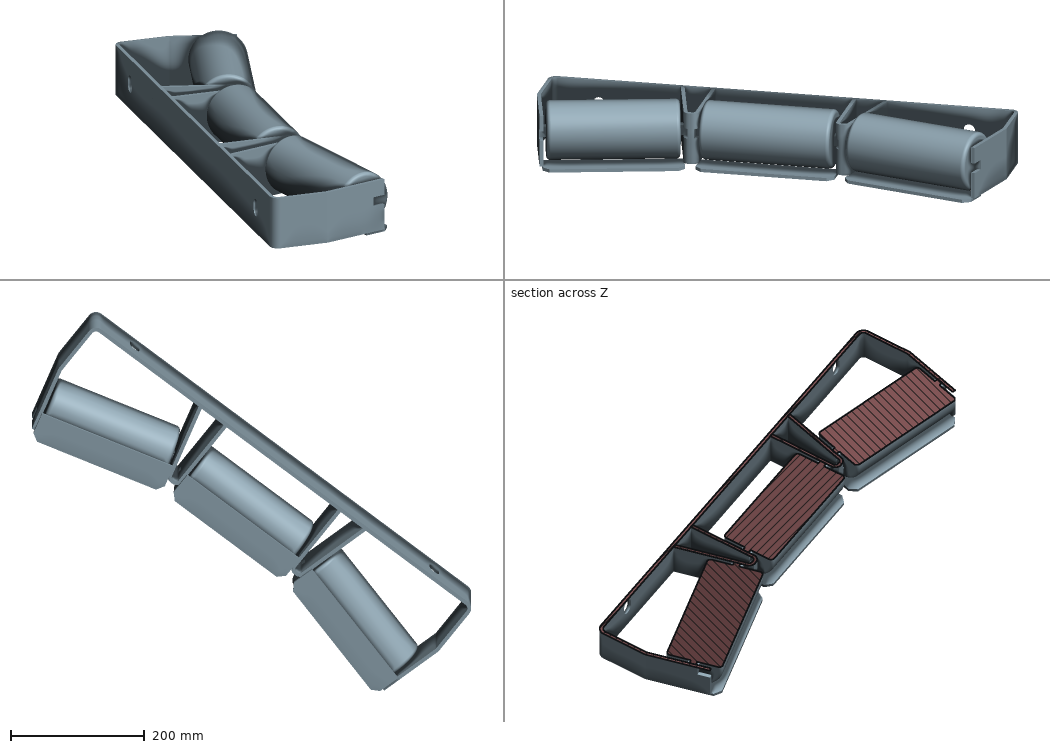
import cadquery as cq
import math

FRAME_LENGTH = 720.0
FRAME_HEIGHT = 80.0
SHEET = 6.0
CORNER_RADIUS = 13.0
BEND_RADIUS = 10.0
TILT = 15.0
BEND_Y = 88.0
ARM_END_Y = 186.5

MOUNT_SPACING = 567.0
MOUNT_WIDTH = 18.0
MOUNT_HEIGHT = 27.0

CENTRE_GAP = 210.0
BRACKET_TOP_Y = 125.0

ROLLER_RADIUS = 45.0
ROLLER_LENGTH = 200.0
ROLLER_EDGE = 6.0
ROLLER_Z = 47.5
CENTRE_ROLLER_Y = 100.0
OUTER_ROLLER_Y = 129.5
SHAFT_WIDTH = 19.0
TONGUE_ROUNDING = 3.0
SHAFT_HEIGHT = 15.0

PLATE_LENGTH = 213.0
PLATE_WIDTH = 43.0
PLATE_THICKNESS = 5.0
PLATE_CHAMFER = 10.0
PLATE_REAR = 43.0

LEAN = math.tan(math.radians(TILT))
SIN_TILT = math.sin(math.radians(TILT))
COS_TILT = math.cos(math.radians(TILT))
SHAFT_LENGTH = CENTRE_GAP + 2 * SHEET
OUTER_ROLLER_X = FRAME_LENGTH / 2 - (OUTER_ROLLER_Y - BEND_Y) * LEAN - SHAFT_LENGTH / 2 / COS_TILT
BRACKET_FOOT_X = OUTER_ROLLER_X + (OUTER_ROLLER_Y - SHEET) * LEAN - CENTRE_GAP / 2 / COS_TILT
SLOT_REACH = 86.5

STATIONS = [
    (-OUTER_ROLLER_X, OUTER_ROLLER_Y, -TILT),
    (0, CENTRE_ROLLER_Y, 0),
    (OUTER_ROLLER_X, OUTER_ROLLER_Y, TILT),
]


def at_station(shape, station):
    """Move a shape built around the origin, axis along X, to a roller station."""
    x, y, turn = station
    return shape.rotate((0, 0, 0), (0, 0, 1), turn).translate((x, y, 0))


def make_shaft_slots():
    """Two slots for the shaft ends, open towards the rear."""
    slot_length = SHAFT_WIDTH / 2 + SLOT_REACH
    slot_x = (CENTRE_GAP + SHEET) / 2
    slot_y = (SLOT_REACH - SHAFT_WIDTH / 2) / 2
    return (
        cq.Workplane("XY")
        .pushPoints([(-slot_x, slot_y), (slot_x, slot_y)])
        .box(SHEET, slot_length, SHAFT_HEIGHT)
        .edges("|X and <Y").fillet(TONGUE_ROUNDING)
        .translate((0, 0, ROLLER_Z))
    )


def cut_shaft_slots(body):
    for station in STATIONS:
        body = body.cut(at_station(make_shaft_slots(), station))
    return body


def round_bend(sheet, outside, inside, outside_radius):
    """Round a sheet bend given the (x, y) of its outside and inside upright edges."""
    for (x, y), radius in ((outside, outside_radius), (inside, outside_radius - SHEET)):
        sheet = sheet.edges(cq.NearestToPointSelector((x, y, FRAME_HEIGHT / 2))).fillet(radius)
    return sheet


def make_frame():
    half = FRAME_LENGTH / 2
    tip_x = half - (ARM_END_Y - BEND_Y) * LEAN
    inner_half = half - SHEET
    inner_bend_y = BEND_Y - SHEET * math.tan(math.radians(TILT / 2))
    tip_inner_x = tip_x - SHEET * COS_TILT
    tip_inner_y = ARM_END_Y - SHEET * SIN_TILT
    right = [
        (half, 0), (half, BEND_Y), (tip_x, ARM_END_Y),
        (tip_inner_x, tip_inner_y), (inner_half, inner_bend_y), (inner_half, SHEET),
    ]
    left = [(-x, y) for x, y in reversed(right)]
    frame = cq.Workplane("XY").polyline(right + left).close().extrude(FRAME_HEIGHT)
    for side in (-1, 1):
        frame = round_bend(frame, (side * half, 0), (side * inner_half, SHEET), CORNER_RADIUS)
        frame = round_bend(frame, (side * half, BEND_Y), (side * inner_half, inner_bend_y), BEND_RADIUS)
    mounts = (
        cq.Workplane("XZ")
        .pushPoints([(side * MOUNT_SPACING / 2, FRAME_HEIGHT / 2) for side in (-1, 1)])
        .slot2D(MOUNT_HEIGHT, MOUNT_WIDTH, 90)
        .extrude(-SHEET)
    )
    return cut_shaft_slots(frame.cut(mounts))


def make_bracket(side):
    inner = CENTRE_GAP / 2
    slant = SHEET / COS_TILT
    top = BRACKET_TOP_Y
    under = top - SHEET

    def leg_x(y):
        return BRACKET_FOOT_X - (y - SHEET) * LEAN

    outline = [
        (inner, SHEET), (inner, top), (leg_x(top), top), (leg_x(SHEET), SHEET),
        (leg_x(SHEET) - slant, SHEET), (leg_x(under) - slant, under),
        (inner + SHEET, under), (inner + SHEET, SHEET),
    ]
    bracket = cq.Workplane("XY").polyline([(side * x, y) for x, y in outline]).close().extrude(FRAME_HEIGHT)
    bracket = round_bend(bracket, (side * inner, top), (side * (inner + SHEET), under), BEND_RADIUS)
    bracket = round_bend(bracket, (side * leg_x(top), top), (side * (leg_x(under) - slant), under), BEND_RADIUS)
    return cut_shaft_slots(bracket)


def make_roller(station):
    drum = cq.Workplane("YZ").workplane(offset=-ROLLER_LENGTH / 2).circle(ROLLER_RADIUS).extrude(ROLLER_LENGTH)
    drum = drum.edges("%CIRCLE").fillet(ROLLER_EDGE)
    shaft = cq.Workplane("YZ").workplane(offset=-CENTRE_GAP / 2).circle(SHAFT_WIDTH / 2).extrude(CENTRE_GAP)
    tongues = cq.Workplane("XY").box(SHAFT_LENGTH, SHAFT_WIDTH, SHAFT_HEIGHT)
    tongues = tongues.edges("|X and <Y").fillet(TONGUE_ROUNDING)
    return at_station(drum.union(shaft).union(tongues).translate((0, 0, ROLLER_Z)), station)


def make_plate(station):
    plate = (
        cq.Workplane("XY")
        .box(PLATE_LENGTH, PLATE_WIDTH, PLATE_THICKNESS, centered=(True, False, False))
        .edges("|Z and >Y").chamfer(PLATE_CHAMFER)
        .translate((0, PLATE_REAR - PLATE_WIDTH, -PLATE_THICKNESS))
    )
    return at_station(plate, station)


frame = make_frame()
brackets = [make_bracket(side) for side in (-1, 1)]
rollers = [make_roller(station) for station in STATIONS]
plates = [make_plate(station) for station in STATIONS]

bodies = [frame, *brackets, *rollers, *plates]
result = cq.Compound.makeCompound([body.val() for body in bodies])